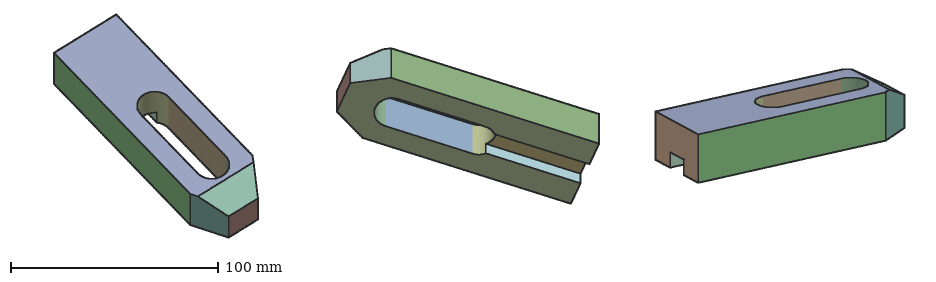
import cadquery as cq
import math

length = 125.0
width = 38.0
height = 25.0

taper = math.tan(math.radians(30))
side_taper_depth = 10.0
top_taper_depth = 8.0
side_taper_length = side_taper_depth / taper
top_taper_length = top_taper_depth / taper

slot_width = 17.0
slot_start = 46.5
slot_end = 108.5
slot_length = slot_end - slot_start

groove_width = 12.0
groove_depth = 8.0
groove_length = slot_start + slot_width / 2


def make_body():
    """Bar with the nose narrowed in plan and sloped down on top."""
    nose_half_width = width / 2 - side_taper_depth
    plan = (
        cq.Workplane("XY")
        .moveTo(0, -width / 2)
        .lineTo(length - side_taper_length, -width / 2)
        .lineTo(length, -nose_half_width)
        .lineTo(length, nose_half_width)
        .lineTo(length - side_taper_length, width / 2)
        .lineTo(0, width / 2)
        .close()
        .extrude(height)
    )
    profile = (
        cq.Workplane("XZ")
        .moveTo(0, 0)
        .lineTo(length, 0)
        .lineTo(length, height - top_taper_depth)
        .lineTo(length - top_taper_length, height)
        .lineTo(0, height)
        .close()
        .extrude(width / 2, both=True)
    )
    return plan.intersect(profile)


def make_slot():
    """Round-ended slot through the full height."""
    return (
        cq.Workplane("XY")
        .center((slot_start + slot_end) / 2, 0)
        .slot2D(slot_length, slot_width)
        .extrude(height)
    )


def make_groove():
    """Rectangular groove ending inside the slot."""
    return cq.Workplane("XY").box(
        groove_length, groove_width, groove_depth, centered=(False, True, False)
    )


result = make_body().cut(make_slot()).cut(make_groove())